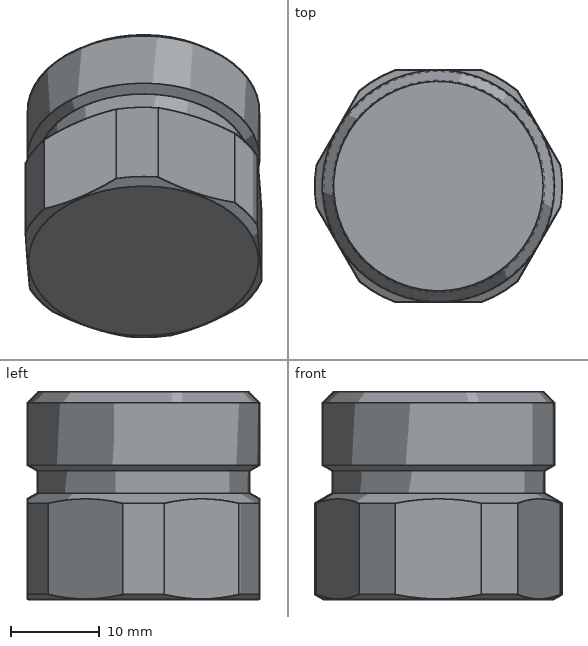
import cadquery as cq
import math

total_height = 23.5
hex_across_flats = 26.23
hex_round_radius = 13.98
hex_height = 12.02
head_radius = hex_across_flats / 2
groove_radius = 12.0
groove_width = 2.52
base_radius = 12.97
top_chamfer = 1.3
cone_slope = math.tan(math.radians(30))

base_bevel_top = (hex_round_radius - base_radius) * cone_slope
hex_bevel_start = hex_height - (hex_round_radius - groove_radius) * cone_slope
head_bottom = hex_height + groove_width
head_bevel_top = head_bottom + (head_radius - groove_radius) * cone_slope
head_chamfer_start = total_height - top_chamfer


def revolve_profile(points):
    """Revolve a (radius, height) outline about the Z axis."""
    return cq.Workplane("XZ").polyline(points).close().revolve(360, (0, 0, 0), (0, 1, 0))


def make_hex_base():
    """Hexagon with flats on +-Y, its corners rounded and beveled at both ends."""
    beveled_round = revolve_profile([
        (0, 0),
        (base_radius, 0),
        (hex_round_radius, base_bevel_top),
        (hex_round_radius, hex_bevel_start),
        (groove_radius, hex_height),
        (0, hex_height),
    ])
    across_corners = hex_across_flats / math.cos(math.radians(30))
    hexagon = cq.Workplane("XY").polygon(6, across_corners).extrude(hex_height)
    return beveled_round.intersect(hexagon)


def make_head():
    """Groove neck and round head with a beveled lower edge and chamfered top."""
    return revolve_profile([
        (0, hex_height),
        (groove_radius, hex_height),
        (groove_radius, head_bottom),
        (head_radius, head_bevel_top),
        (head_radius, head_chamfer_start),
        (head_radius - top_chamfer, total_height),
        (0, total_height),
    ])


result = make_hex_base().union(make_head())